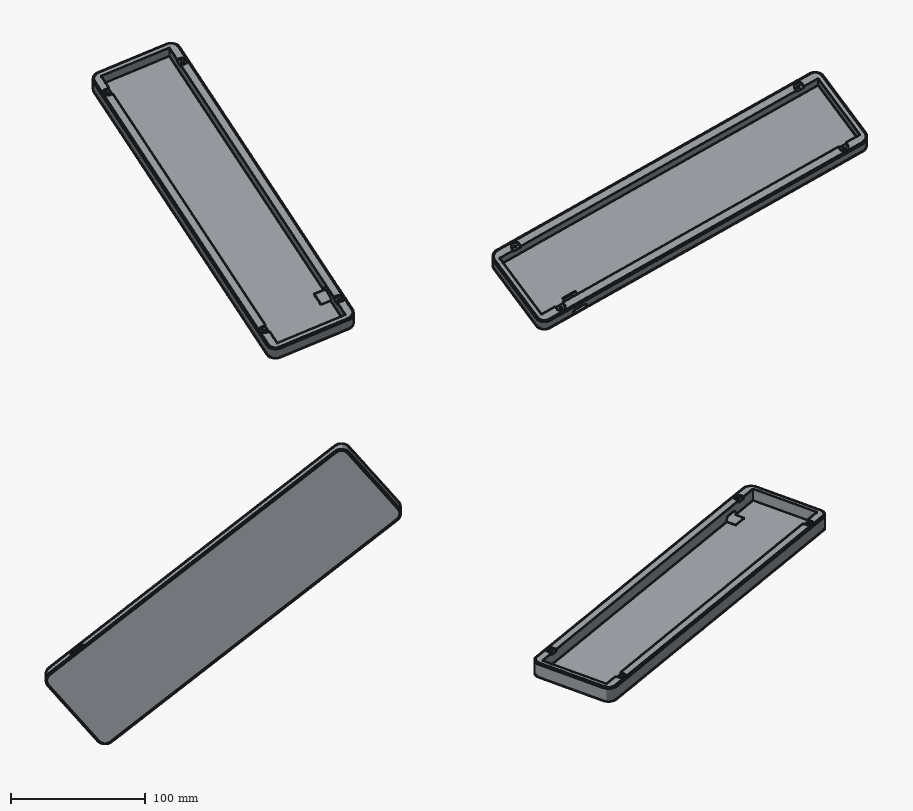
import cadquery as cq

length = 291.0
width = 72.0
height = 13.0
corner_radius = 7.3
edge_chamfer = 1.0

cavity_length = 281.5
cavity_width = 57.0
floor_thickness = 3.0

seat_x = 125.0
seat_y = 31.5
seat_width = 6.5
seat_depth = 1.7
screw_hole_diameter = 2.07
screw_hole_depth = 7.3

port_x = 111.5
port_width = 12.0
port_height = 6.0
port_bottom = 1.2
port_front_y = 20.7


def make_body():
    """Plate with round vertical corners and beveled top and bottom edges."""
    plate = cq.Workplane("XY").box(length, width, height, centered=(True, True, False))
    rounded = plate.edges("|Z").fillet(corner_radius)
    return rounded.faces("<Z or >Z").edges().chamfer(edge_chamfer)


def make_cavity():
    return (
        cq.Workplane("XY", origin=(0, 0, floor_thickness))
        .rect(cavity_length, cavity_width)
        .extrude(height - floor_thickness)
    )


def make_screw_seat(x, side):
    """Shallow recess, round outside and open to the cavity, with a blind hole."""
    seat_floor = height - seat_depth
    plane = cq.Workplane("XY", origin=(x, side * seat_y, seat_floor))
    round_end = plane.circle(seat_width / 2).extrude(seat_depth)
    inner_run = seat_y - cavity_width / 2
    opening = plane.center(0, -side * inner_run / 2).rect(seat_width, inner_run).extrude(seat_depth)
    hole = plane.circle(screw_hole_diameter / 2).extrude(-screw_hole_depth)
    return round_end.union(opening).union(hole)


def make_port():
    run = width / 2 - port_front_y
    port_z = port_bottom + port_height / 2
    return (
        cq.Workplane("XZ", origin=(port_x, width / 2, port_z))
        .slot2D(port_width, port_height)
        .extrude(run)
    )


result = make_body().cut(make_cavity()).cut(make_port())
for seat_side in (-1, 1):
    for x_position in (-seat_x, seat_x):
        result = result.cut(make_screw_seat(x_position, seat_side))